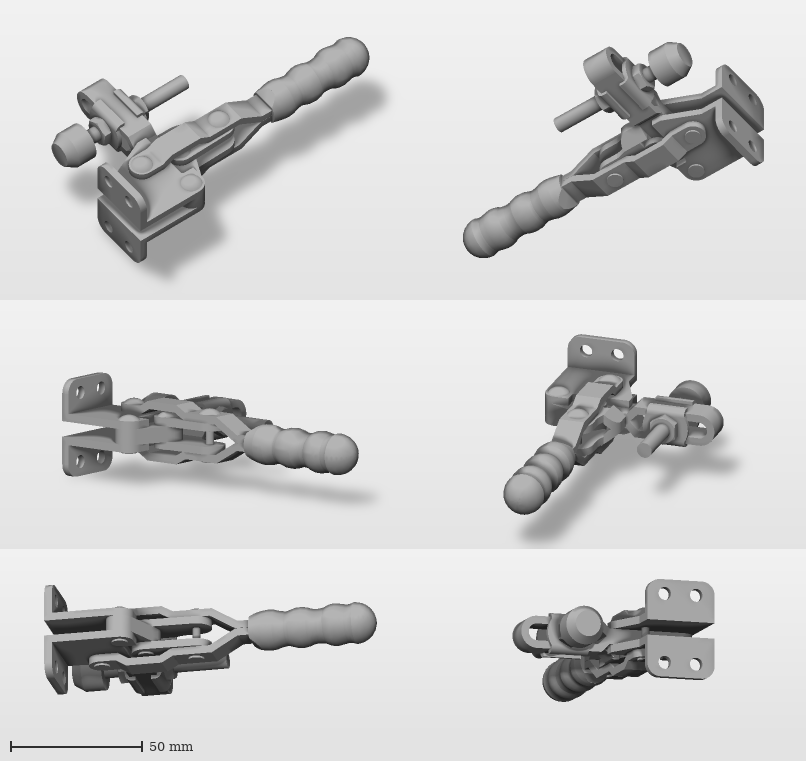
import cadquery as cq
import math


SHEET = 3.0
PLATE_IN = SHEET
PLATE_OUT = 2 * SHEET
STRAP_OUT = 3 * SHEET

HANDLE_PIVOT = (0.0, 17.5)
ARM_PIVOT = (16.8, 28.4)
ARM_LINK = (1.0, 35.0)
HANDLE_LINK = (0.0, 54.5)

RIVET_R = 1.5
HEAD_R = 4.3
HEAD_H = 1.9
TAIL_R = 3.1
TAIL_H = 0.8

TAIL_ROUND = 5.3
BASE_RIGHT = ARM_PIVOT[0] + TAIL_ROUND
BASE_LEFT = -5.0
FLANGE_Z = 18.9
FLANGE_CORNER_R = 5.1
NOSE_X = -11.6
NOSE_Y = 24.4
NECK_Y = 9.8
SHOULDER_X = 11.1
SHOULDER_FILLET = 1.0
HOLE_D = 5.0
HOLE_XS = (2.0, 14.6)
HOLE_Z = 13.4

OVERALL_X = 70.0
ARM_BOTTOM = ARM_PIVOT[1] - TAIL_ROUND
ARM_TOP = 34.0
LOOP_R = 6.3
LOOP_IN_R = LOOP_R - SHEET
ARM_LEFT = BASE_RIGHT - OVERALL_X
LOOP_X = ARM_LEFT + LOOP_R
NECK_START_X = -15.8
ARM_LOBE_R = 5.6

LINK_TOP_R = 6.0
LINK_LOBE_R = 5.5
BEND_X = -7.1
TAB_LEFT = -12.4
TAB_TOP = 45.0
TAB_ROUND = 5.0
TAB_SLOPE = 0.75
RELIEF_Y = 37.5
THROAT_MID = (-6.4, 47.0)
THROAT_END = (-6.0, 49.1)

STRAP_HALF_W = 5.0
STRAP_END_Y = HANDLE_PIVOT[1] - STRAP_HALF_W
GRIP_BOTTOM = 76.3
SEAM_GAP = 0.08
STRAP_BENDS = [
    (GRIP_BOTTOM, SHEET),
    (71.8, SHEET),
    (61.6, STRAP_OUT),
    (46.5, STRAP_OUT),
    (42.0, 11.5),
    (28.0, 11.5),
    (23.9, STRAP_OUT),
    (STRAP_END_Y, STRAP_OUT),
]

GRIP_TOP = 125.0
DOME_R = 8.0
DOME_Y = 116.9
GRIP_ARCS = [
    ((115.4, 7.5), (113.9, 7.4)),
    ((112.6, 7.6), (111.3, 7.9)),
    ((108.3, 8.1), (105.3, 7.0)),
    ((103.9, 6.8), (102.6, 6.6)),
    ((100.8, 6.8), (98.9, 7.4)),
    ((95.5, 7.9), (91.6, 7.0)),
    ((90.9, 6.8), (90.1, 6.6)),
    ((87.8, 7.0), (85.6, 7.6)),
    ((83.6, 7.9), (81.1, 7.6)),
]
GRIP_END_R = 6.6
FLAT_END_Z = 4.4
FLAT_TOP_Y = 80.0
FLAT_TOP_Z = 7.3

SPINDLE_X = -28.8
SPINDLE_R = 3.0
SPINDLE_TOP = 60.1
CAP_R = 7.5
CAP_TOP = 12.0
CAP_CHAMFER_Y = 4.0
CAP_TIP_R = 5.0
NUT_FLATS = 10.0
NUT_H = 3.5
NUT_CHAMFER_H = 0.4

WASHER_T = 1.8
WASHER_R = 9.1
LIP_HALF_W = 7.5
LIP_T = 1.5
LIP_DEPTH = 2.4
LIP_Z = LOOP_R + LIP_T
LIP_BEND_R = 2.8


def on_circle(centre, radius, angle):
    return (centre[0] + radius * math.cos(angle), centre[1] + radius * math.sin(angle))


def right_tangent(top, top_r, low, low_r):
    """Touch points, top circle first, of the outer tangent to the right of the line from top to low."""
    dx = low[0] - top[0]
    dy = low[1] - top[1]
    angle = math.atan2(dy, dx) + math.acos((top_r - low_r) / math.hypot(dx, dy))
    return on_circle(top, top_r, angle), on_circle(low, low_r, angle)


def both_sides(half):
    """The half at +Z joined with its mirror image at -Z."""
    return half.union(half.mirror("XY"))


def through_hole(centre):
    return cq.Workplane("XY").center(*centre).circle(RIVET_R).extrude(2 * FLANGE_Z, both=True)


def rivet(centre, seat_z):
    """Shaft across Z with a domed head on +seat_z and a flat tail on -seat_z."""
    cap_r = (HEAD_R**2 + HEAD_H**2) / (2 * HEAD_H)
    mid = HEAD_R / 2
    mid_z = seat_z + HEAD_H - cap_r + math.sqrt(cap_r**2 - mid**2)
    profile = (
        cq.Workplane("XZ")
        .moveTo(0, -seat_z - TAIL_H)
        .lineTo(TAIL_R, -seat_z - TAIL_H)
        .lineTo(TAIL_R, -seat_z)
        .lineTo(RIVET_R, -seat_z)
        .lineTo(RIVET_R, seat_z)
        .lineTo(HEAD_R, seat_z)
        .threePointArc((mid, mid_z), (0, seat_z + HEAD_H))
        .close()
    )
    return profile.revolve(360, (0, 0), (0, 1)).translate((*centre, 0))


def make_base():
    """Two angle brackets held together by the arm pivot and handle pivot rivets."""
    tail_top = ARM_PIVOT[1] + TAIL_ROUND
    shoulder_centre = (SHOULDER_X - SHOULDER_FILLET, ARM_PIVOT[1] + SHOULDER_FILLET)
    shoulder_mid = on_circle(shoulder_centre, SHOULDER_FILLET, -math.pi / 4)
    web = (
        cq.Workplane("XY")
        .workplane(offset=PLATE_IN)
        .moveTo(BASE_LEFT, 0)
        .lineTo(BASE_RIGHT, 0)
        .lineTo(BASE_RIGHT, ARM_PIVOT[1])
        .threePointArc(on_circle(ARM_PIVOT, TAIL_ROUND, math.pi / 4), (ARM_PIVOT[0], tail_top))
        .lineTo(SHOULDER_X, tail_top)
        .lineTo(SHOULDER_X, ARM_PIVOT[1] + SHOULDER_FILLET)
        .threePointArc(shoulder_mid, (shoulder_centre[0], ARM_PIVOT[1]))
        .lineTo(NOSE_X, ARM_PIVOT[1])
        .lineTo(NOSE_X, NOSE_Y)
        .lineTo(BASE_LEFT, NECK_Y)
        .close()
        .extrude(SHEET)
    )
    flange = (
        cq.Workplane("XY")
        .box(BASE_RIGHT - BASE_LEFT, SHEET, FLANGE_Z - PLATE_IN, centered=False)
        .translate((BASE_LEFT, 0, PLATE_IN))
        .edges("|Y and >Z")
        .fillet(FLANGE_CORNER_R)
    )
    holes = (
        cq.Workplane("XZ")
        .pushPoints([(x, HOLE_Z) for x in HOLE_XS])
        .circle(HOLE_D / 2)
        .extrude(-SHEET)
    )
    base = both_sides(web.union(flange).cut(holes))
    return base.union(rivet(ARM_PIVOT, PLATE_OUT)).union(rivet(HANDLE_PIVOT, STRAP_OUT))


def make_arm():
    """Strip folded into a slotted loop; its two leaves join into a tail with a lobe for the link."""
    neck_x = NECK_START_X + LOOP_R - SHEET
    slant_shift = SHEET * math.tan(math.pi / 8)
    slot_apex_x = NECK_START_X + LOOP_R - SHEET * math.sqrt(2)
    loop = (
        cq.Workplane("XZ")
        .moveTo(0, SHEET)
        .lineTo(neck_x, SHEET)
        .lineTo(NECK_START_X, LOOP_R)
        .lineTo(LOOP_X, LOOP_R)
        .threePointArc((ARM_LEFT, 0), (LOOP_X, -LOOP_R))
        .lineTo(NECK_START_X, -LOOP_R)
        .lineTo(neck_x, -SHEET)
        .lineTo(0, -SHEET)
        .close()
        .moveTo(slot_apex_x, 0)
        .lineTo(NECK_START_X - slant_shift, LOOP_IN_R)
        .lineTo(LOOP_X, LOOP_IN_R)
        .threePointArc((LOOP_X - LOOP_IN_R, 0), (LOOP_X, -LOOP_IN_R))
        .lineTo(NECK_START_X - slant_shift, -LOOP_IN_R)
        .close()
        .extrude(ARM_BOTTOM - ARM_TOP)
        .translate((0, ARM_BOTTOM, 0))
    )
    lobe_end, tail_start = right_tangent(ARM_LINK, ARM_LOBE_R, ARM_PIVOT, TAIL_ROUND)
    lobe_left = ARM_LINK[0] - ARM_LOBE_R
    tail = (
        cq.Workplane("XY")
        .moveTo(lobe_left, ARM_BOTTOM)
        .lineTo(ARM_PIVOT[0], ARM_BOTTOM)
        .threePointArc((BASE_RIGHT, ARM_PIVOT[1]), tail_start)
        .lineTo(*lobe_end)
        .threePointArc(on_circle(ARM_LINK, ARM_LOBE_R, 0.75 * math.pi), (lobe_left, ARM_LINK[1]))
        .close()
        .extrude(SHEET, both=True)
    )
    return loop.union(tail).cut(through_hole(ARM_PIVOT)).cut(through_hole(ARM_LINK))


def link_plate():
    top_end, lobe_start = right_tangent(HANDLE_LINK, LINK_TOP_R, ARM_LINK, LINK_LOBE_R)
    relief_x = ARM_LINK[0] - math.sqrt(LINK_LOBE_R**2 - (RELIEF_Y - ARM_LINK[1]) ** 2)
    return (
        cq.Workplane("XY")
        .workplane(offset=PLATE_IN)
        .moveTo(HANDLE_LINK[0] - LINK_TOP_R, HANDLE_LINK[1])
        .threePointArc((HANDLE_LINK[0], HANDLE_LINK[1] + LINK_TOP_R), top_end)
        .lineTo(*lobe_start)
        .threePointArc((ARM_LINK[0], ARM_LINK[1] - LINK_LOBE_R), (relief_x, RELIEF_Y))
        .lineTo(BEND_X, RELIEF_Y)
        .lineTo(BEND_X, TAB_TOP)
        .threePointArc(THROAT_MID, THROAT_END)
        .close()
        .extrude(SHEET)
        .cut(through_hole(HANDLE_LINK))
    )


def link_tab():
    """Tab bent inwards from the plate until it meets its mirror image at Z = 0."""
    drop = TAB_SLOPE * (BEND_X - TAB_LEFT)
    inner_z = PLATE_OUT - SHEET * math.hypot(1, TAB_SLOPE)
    section = (
        cq.Workplane("XZ")
        .polyline(
            [
                (BEND_X, PLATE_OUT),
                (TAB_LEFT, PLATE_OUT - drop),
                (TAB_LEFT, 0),
                (BEND_X - inner_z / TAB_SLOPE, 0),
                (BEND_X, inner_z),
            ]
        )
        .close()
        .extrude(ARM_TOP - TAB_TOP)
        .translate((0, ARM_TOP, 0))
    )
    return section.intersect(
        cq.Workplane("XY")
        .box(BEND_X - TAB_LEFT, TAB_TOP - ARM_TOP, PLATE_OUT, centered=False)
        .translate((TAB_LEFT, ARM_TOP, 0))
        .edges("|Z and <X and >Y")
        .fillet(TAB_ROUND)
    )


def make_link():
    return both_sides(link_plate().union(link_tab())).union(rivet(ARM_LINK, PLATE_OUT))


def strap_inner_points():
    """Inner face of the bent strap, one sheet thickness inside the outer face."""
    angles = [
        math.atan2(end[1] - start[1], start[0] - end[0])
        for start, end in zip(STRAP_BENDS, STRAP_BENDS[1:])
    ]
    points = [(STRAP_BENDS[0][0], STRAP_BENDS[0][1] - SHEET)]
    for (y, z), before, after in zip(STRAP_BENDS[1:-1], angles, angles[1:]):
        half_turn = (after - before) / 2
        reach = SHEET / math.cos(half_turn)
        lean = (before + after) / 2
        points.append((y - reach * math.sin(lean), z - reach * math.cos(lean)))
    points.append((STRAP_BENDS[-1][0], STRAP_BENDS[-1][1] - SHEET))
    return points


def make_handle():
    """Two bent straps with a hairline gap at the tang, held together by the link rivet."""
    strap = (
        cq.Workplane("YZ")
        .polyline(STRAP_BENDS + strap_inner_points()[::-1])
        .close()
        .extrude(STRAP_HALF_W, both=True)
    )
    rounded_end = (
        cq.Workplane("XY")
        .moveTo(-STRAP_HALF_W, GRIP_BOTTOM)
        .lineTo(-STRAP_HALF_W, HANDLE_PIVOT[1])
        .threePointArc((0, STRAP_END_Y), (STRAP_HALF_W, HANDLE_PIVOT[1]))
        .lineTo(STRAP_HALF_W, GRIP_BOTTOM)
        .close()
        .extrude(FLANGE_Z)
        .cut(through_hole(HANDLE_PIVOT))
    )
    gap = cq.Workplane("XY").box(2 * STRAP_HALF_W, 2 * GRIP_TOP, SEAM_GAP)
    return both_sides(strap.intersect(rounded_end).cut(gap)).union(rivet(HANDLE_LINK, STRAP_OUT))


def make_grip():
    """Turned grip with finger waves, flattened above and below at its open end."""
    half = math.sqrt(0.5)
    dome_mid = (DOME_R * half, DOME_Y + (GRIP_TOP - DOME_Y) * half)
    profile = (
        cq.Workplane("XY")
        .moveTo(0, GRIP_BOTTOM)
        .lineTo(0, GRIP_TOP)
        .threePointArc(dome_mid, (DOME_R, DOME_Y))
    )
    for (mid_y, mid_r), (end_y, end_r) in GRIP_ARCS:
        profile = profile.threePointArc((mid_r, mid_y), (end_r, end_y))
    grip = profile.lineTo(GRIP_END_R, GRIP_BOTTOM).close().revolve(360, (0, 0), (0, 1))
    clear_z = 2 * DOME_R
    flat = (
        cq.Workplane("YZ")
        .polyline(
            [
                (GRIP_BOTTOM, FLAT_END_Z),
                (FLAT_TOP_Y, FLAT_TOP_Z),
                (FLAT_TOP_Y, clear_z),
                (GRIP_BOTTOM, clear_z),
            ]
        )
        .close()
        .extrude(2 * GRIP_END_R, both=True)
    )
    return grip.cut(both_sides(flat))


def nut(bottom_y):
    """Hexagon with corners towards +Z and -Z and both ends chamfered."""
    corner_r = NUT_FLATS / math.sqrt(3)
    flat_r = NUT_FLATS / 2
    hexagon = (
        cq.Workplane("XZ")
        .polygon(6, 2 * corner_r)
        .extrude(-NUT_H)
        .rotate((0, 0, 0), (0, 1, 0), 90)
    )
    turned = (
        cq.Workplane("XY")
        .polyline(
            [
                (0, 0),
                (flat_r, 0),
                (corner_r, NUT_CHAMFER_H),
                (corner_r, NUT_H - NUT_CHAMFER_H),
                (flat_r, NUT_H),
                (0, NUT_H),
            ]
        )
        .close()
        .revolve(360, (0, 0), (0, 1))
    )
    return hexagon.intersect(turned).translate((SPINDLE_X, bottom_y, 0))


def make_spindle():
    """Plain rod with its pressure cap and the two nuts that clamp the washers."""
    rod = (
        cq.Workplane("XY")
        .polyline(
            [
                (0, 0),
                (CAP_TIP_R, 0),
                (CAP_R, CAP_CHAMFER_Y),
                (CAP_R, CAP_TOP),
                (SPINDLE_R, CAP_TOP),
                (SPINDLE_R, SPINDLE_TOP),
                (0, SPINDLE_TOP),
            ]
        )
        .close()
        .revolve(360, (0, 0), (0, 1))
        .translate((SPINDLE_X, 0, 0))
    )
    return rod.union(nut(ARM_TOP + WASHER_T)).union(nut(ARM_BOTTOM - WASHER_T - NUT_H))


def make_washer(seat_y, outward):
    """Disc lying on the arm edge at seat_y, with two lips folded over the loop's sides."""
    channel = (
        cq.Workplane("YZ")
        .center((WASHER_T - LIP_DEPTH) / 2, 0)
        .rect(WASHER_T + LIP_DEPTH, 2 * LIP_Z)
        .extrude(WASHER_R, both=True)
        .edges("|X and >Y")
        .fillet(LIP_BEND_R)
    )
    arm_seat = cq.Workplane("YZ").center(-LIP_Z, 0).rect(2 * LIP_Z, 2 * LOOP_R).extrude(WASHER_R, both=True)
    disc_half_z = math.sqrt(WASHER_R**2 - LIP_HALF_W**2)
    outline = (
        cq.Workplane("XZ")
        .circle(WASHER_R)
        .extrude(LIP_Z, both=True)
        .intersect(cq.Workplane("XY").box(2 * WASHER_R, 2 * LIP_Z, 2 * disc_half_z))
        .union(cq.Workplane("XY").box(2 * LIP_HALF_W, 2 * LIP_Z, 2 * LIP_Z))
    )
    bore = cq.Workplane("XZ").circle(SPINDLE_R).extrude(LIP_Z, both=True)
    washer = channel.cut(arm_seat).intersect(outline).cut(bore)
    if outward < 0:
        washer = washer.mirror("XZ")
    return washer.translate((SPINDLE_X, seat_y, 0))


base = make_base()
arm = make_arm()
link = make_link()
handle = make_handle()
grip = make_grip()
spindle = make_spindle()
washers = [make_washer(seat_y, outward) for seat_y, outward in ((ARM_TOP, 1), (ARM_BOTTOM, -1))]

bodies = [base, arm, link, handle, grip, spindle, *washers]
result = cq.Compound.makeCompound([body.solids().val() for body in bodies])